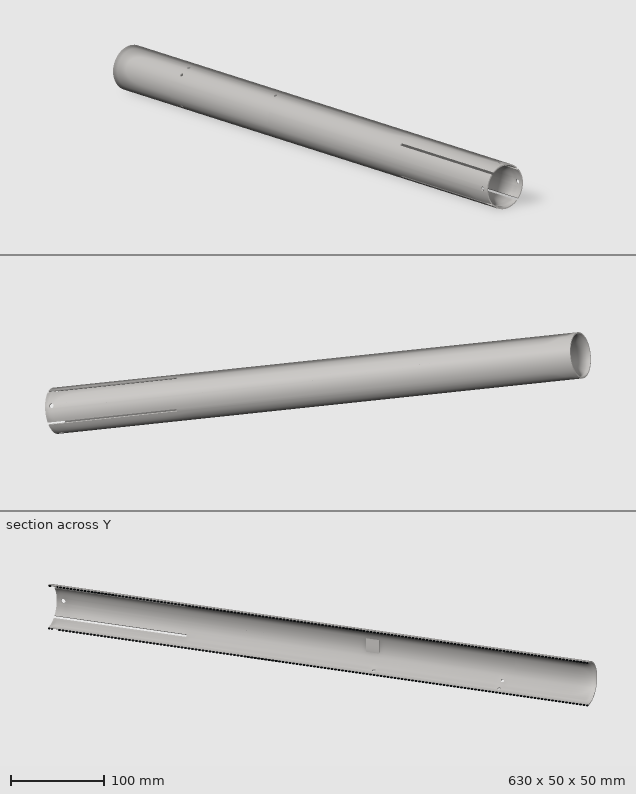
import cadquery as cq

length = 630.0
outer_diameter = 50.0
outer_radius = outer_diameter / 2
wall = 1.4
inner_radius = outer_radius - wall

door_start = 95.0
door_end = 261.0
door_half_height = 21.5
door_corner_radius = 12.5

tongue_overhang = 7.5
tongue_length = 2 * tongue_overhang
tongue_half_height = 7.5
tongue_depth = 2.0
tongue_face = inner_radius - tongue_depth

screw_diameter = 4.0
first_screw_margin = 12.0
last_screw_margin = 7.5
first_screw_position = door_start + first_screw_margin
last_screw_position = door_end - last_screw_margin
tube_screw_angle = 71.0
door_screw_angle = 44.0

slot_length = 154.5
slot_width = 2.85
slot_count = 4
slot_angle_step = 360 / slot_count
first_slot_angle = slot_angle_step / 2

rivet_diameter = 5.0
rivet_end_margin = 7.5
rivet_position = length - rivet_end_margin
rivet_count = 4
rivet_angle_step = 360 / rivet_count


def cylinder(radius):
    return cq.Workplane("YZ").circle(radius).extrude(length)


def turned(shape, angle):
    """Turn a shape on the -Y side about the tube axis, towards +Z."""
    return shape.rotate((0, 0, 0), (-1, 0, 0), angle)


def radial_hole(diameter, position, angle):
    """Drill that goes from the tube axis out through one side of the wall."""
    drill = cq.Workplane("XZ", origin=(position, 0, 0)).circle(diameter / 2).extrude(outer_diameter)
    return turned(drill, angle)


def hatch_prism():
    """Rounded rectangle through the -Y wall: the window in the tube and the outline of the door."""
    return (
        cq.Workplane("XZ")
        .center((door_start + door_end) / 2, 0)
        .rect(door_end - door_start, 2 * door_half_height)
        .extrude(outer_diameter)
        .edges("|Y")
        .fillet(door_corner_radius)
    )


def fin_slot(angle):
    cutter = cq.Workplane("XY").box(slot_length, outer_diameter, slot_width, centered=(False, False, True))
    cutter = cutter.translate((length - slot_length, -outer_diameter, 0))
    return turned(cutter, angle)


def build_shell():
    return cylinder(outer_radius).cut(cylinder(inner_radius))


def build_tube():
    tube = build_shell().cut(hatch_prism())
    for position in (first_screw_position, last_screw_position):
        for angle in (tube_screw_angle, -tube_screw_angle):
            tube = tube.cut(radial_hole(screw_diameter, position, angle))
    for i in range(slot_count):
        tube = tube.cut(fin_slot(first_slot_angle + i * slot_angle_step))
    for i in range(rivet_count):
        tube = tube.cut(radial_hole(rivet_diameter, rivet_position, i * rivet_angle_step))
    return tube


def build_tongue():
    block = (
        cq.Workplane("XZ", origin=(0, -tongue_face, 0))
        .center(door_end, 0)
        .rect(tongue_length, 2 * tongue_half_height)
        .extrude(outer_radius)
    )
    return block.intersect(cylinder(inner_radius))


def build_door():
    door = build_shell().intersect(hatch_prism()).union(build_tongue())
    for angle in (door_screw_angle, -door_screw_angle):
        door = door.cut(radial_hole(screw_diameter, first_screw_position, angle))
    return door


tube = build_tube()
door = build_door()
result = cq.Compound.makeCompound([tube.val(), door.val()])